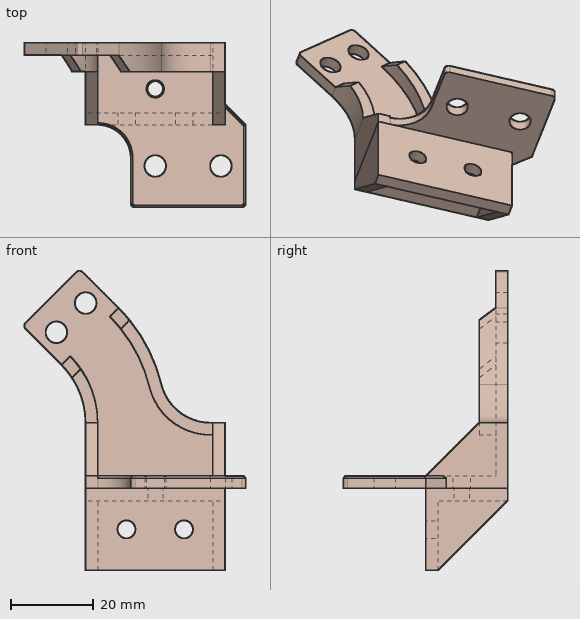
import cadquery as cq
import math


wall = 3.0
width = 34.0
depth = 20.0
screw_hole = 4.3
pilot_hole = 3.7
joint_screw_x = 17.0
joint_screw_y = -11.2

shelf_left = 11.0
shelf_right = 39.0
shelf_depth = 40.0
shelf_arc_radius = shelf_left - wall
shelf_bevel = 0.5
shelf_corner_radius = 1.0
shelf_hole = 5.2
shelf_hole_y = -30.0
shelf_hole_pitch = 16.0

cheek_height = 16.0
rib_depth = 7.0
arm_inner_radius = 19.8
arm_outer_radius = 39.45
arm_tip_length = 13.4
arm_corner_radius = 1.0
hollow_x = 30.4
arm_angle = math.radians(45)
arm_hole = 5.2
arm_hole_radius = 24.6
arm_hole_pitch = 10.05
arm_hole_tip_offset = 6.9

lower_height = 20.0
lower_hole_x = 10.0
lower_hole_pitch = 14.0
lower_hole_z = -10.0

bend_x = -arm_inner_radius
bend_z = cheek_height
hollow_run = hollow_x - bend_x
hollow_radius = (hollow_run**2 - arm_outer_radius**2) / (2 * arm_outer_radius)
hollow_z = cheek_height + hollow_radius
join_angle = math.atan2(hollow_radius, hollow_run)


def bend_point(radius, angle, along=0):
    """Point (x, z) on an arm bend, moved by `along` in the tangent direction."""
    return (
        bend_x + radius * math.cos(angle) - along * math.sin(angle),
        bend_z + radius * math.sin(angle) + along * math.cos(angle),
    )


def hollow_middle(radius):
    """Middle point (x, z) of the hollow's arc between its two tangent points."""
    angle = (math.pi + join_angle + 1.5 * math.pi) / 2
    return (hollow_x + radius * math.cos(angle), hollow_z + radius * math.sin(angle))


def forward(sketch, start, end):
    """Extrude an XZ outline toward -Y between two distances from the rear face."""
    return sketch.extrude(end - start).translate((0, -start, 0))


def cheek(outline, x):
    """Side wall with a (y, z) outline, starting at x."""
    return cq.Workplane("YZ").polyline(outline).close().extrude(wall).translate((x, 0, 0))


def hole_y(x, z, diameter):
    """Cutter along Y through a bracket."""
    return cq.Workplane("XZ").center(x, z).circle(diameter / 2).extrude(depth)


def hole_z(x, y, diameter):
    """Cutter along Z through one wall on either side of the joint."""
    return cq.Workplane("XY").center(x, y).circle(diameter / 2).extrude(wall, both=True)


def back_plate():
    outline = (
        cq.Workplane("XZ")
        .lineTo(0, cheek_height)
        .threePointArc(bend_point(arm_inner_radius, arm_angle / 2), bend_point(arm_inner_radius, arm_angle))
        .lineTo(*bend_point(arm_inner_radius, arm_angle, arm_tip_length))
        .lineTo(*bend_point(arm_outer_radius, arm_angle, arm_tip_length))
        .lineTo(*bend_point(arm_outer_radius, arm_angle))
        .threePointArc(
            bend_point(arm_outer_radius, (arm_angle + join_angle) / 2),
            bend_point(arm_outer_radius, join_angle),
        )
        .threePointArc(hollow_middle(hollow_radius), (hollow_x, cheek_height))
        .lineTo(width, cheek_height)
        .lineTo(width, 0)
        .close()
    )
    plate = forward(outline, 0, wall)
    for radius in (arm_inner_radius, arm_outer_radius):
        x, z = bend_point(radius, arm_angle, arm_tip_length)
        corner = cq.selectors.NearestToPointSelector((x, -wall / 2, z))
        plate = plate.edges(corner).fillet(arm_corner_radius)
    return plate


def left_rib():
    inside = arm_inner_radius + wall
    outline = (
        cq.Workplane("XZ")
        .moveTo(0, cheek_height)
        .threePointArc(bend_point(arm_inner_radius, arm_angle / 2), bend_point(arm_inner_radius, arm_angle))
        .lineTo(*bend_point(inside, arm_angle))
        .threePointArc(bend_point(inside, arm_angle / 2), (wall, cheek_height))
        .close()
    )
    return forward(outline, wall, rib_depth)


def right_rib():
    inside = arm_outer_radius - wall
    middle_angle = (arm_angle + join_angle) / 2
    outline = (
        cq.Workplane("XZ")
        .moveTo(*bend_point(arm_outer_radius, arm_angle))
        .threePointArc(
            bend_point(arm_outer_radius, middle_angle),
            bend_point(arm_outer_radius, join_angle),
        )
        .threePointArc(hollow_middle(hollow_radius), (hollow_x, cheek_height))
        .lineTo(width - wall, cheek_height)
        .lineTo(width - wall, cheek_height - wall)
        .lineTo(hollow_x, cheek_height - wall)
        .threePointArc(hollow_middle(hollow_radius + wall), bend_point(inside, join_angle))
        .threePointArc(bend_point(inside, middle_angle), bend_point(inside, arm_angle))
        .close()
    )
    return forward(outline, wall, rib_depth)


def rib_end_cutter():
    """Wedge that slopes the upper rib ends at 45 degrees to the back plate."""
    rise = rib_depth - wall
    plane = cq.Plane(
        origin=(bend_x, -wall, bend_z),
        xDir=(-math.sin(arm_angle), 0, math.cos(arm_angle)),
        normal=(math.cos(arm_angle), 0, math.sin(arm_angle)),
    )
    wedge = cq.Workplane(plane).polyline([(0, 0), (-rise, rise), (rise, rise), (rise, 0)]).close()
    return wedge.extrude(arm_outer_radius + wall)


def shelf():
    arc_diagonal = shelf_arc_radius * math.sqrt(0.5)
    arc_y = -depth - shelf_arc_radius
    slant = shelf_right - width
    plate = (
        cq.Workplane("XY")
        .moveTo(wall, -wall)
        .lineTo(wall, -depth)
        .threePointArc((wall + arc_diagonal, arc_y + arc_diagonal), (shelf_left, arc_y))
        .lineTo(shelf_left, -shelf_depth)
        .lineTo(shelf_right, -shelf_depth)
        .lineTo(shelf_right, -depth)
        .lineTo(width, -depth + slant)
        .lineTo(width, -wall)
        .close()
        .extrude(wall)
    )
    plate = plate.edges("|Z and <Y").fillet(shelf_corner_radius)
    margin = 0.1
    free_edges = cq.selectors.BoxSelector(
        (wall + margin, -shelf_depth - margin, wall - margin),
        (shelf_right + margin, -depth + slant - margin, wall + margin),
    )
    plate = plate.edges(free_edges).chamfer(shelf_bevel)
    for x in (joint_screw_x, joint_screw_x + shelf_hole_pitch):
        plate = plate.cut(hole_z(x, shelf_hole_y, shelf_hole))
    return plate.cut(hole_z(joint_screw_x, joint_screw_y, screw_hole))


def make_upper_bracket():
    cheek_outline = [(0, 0), (0, cheek_height), (-rib_depth, cheek_height), (-depth, wall), (-depth, 0)]
    bracket = back_plate().union(left_rib().union(right_rib()).cut(rib_end_cutter()))
    for x in (0, width - wall):
        bracket = bracket.union(cheek(cheek_outline, x))
    bracket = bracket.union(shelf())
    for radius in (arm_hole_radius, arm_hole_radius + arm_hole_pitch):
        x, z = bend_point(radius, arm_angle, arm_tip_length - arm_hole_tip_offset)
        bracket = bracket.cut(hole_y(x, z, arm_hole))
    return bracket


def make_lower_bracket():
    cheek_outline = [(0, 0), (0, -wall), (wall - depth, -lower_height), (-depth, -lower_height), (-depth, 0)]
    flange = cq.Workplane("XY").box(width, depth, wall, centered=False).translate((0, -depth, -wall))
    plate = cq.Workplane("XY").box(width, wall, lower_height, centered=False)
    bracket = flange.union(plate.translate((0, -depth, -lower_height)))
    for x in (0, width - wall):
        bracket = bracket.union(cheek(cheek_outline, x))
    for x in (lower_hole_x, lower_hole_x + lower_hole_pitch):
        bracket = bracket.cut(hole_y(x, lower_hole_z, screw_hole))
    return bracket.cut(hole_z(joint_screw_x, joint_screw_y, pilot_hole))


upper_bracket = make_upper_bracket()
lower_bracket = make_lower_bracket()
result = cq.Compound.makeCompound([upper_bracket.solids().val(), lower_bracket.solids().val()])